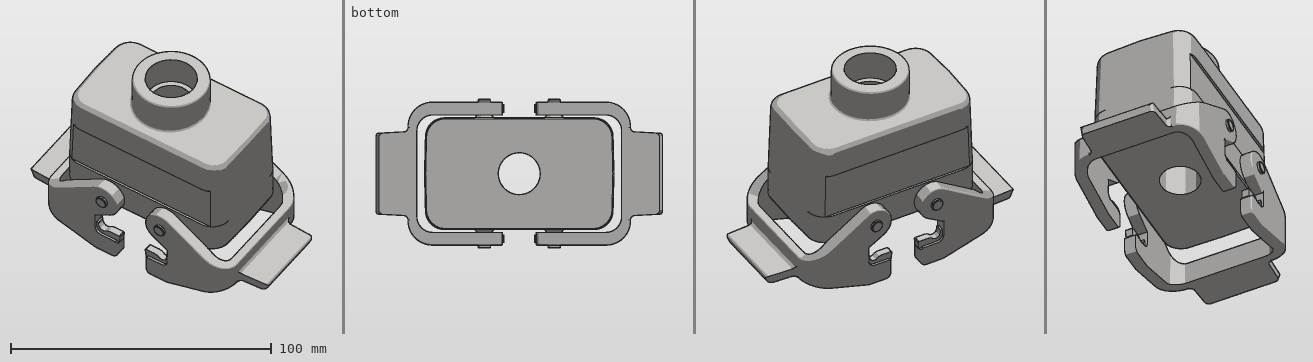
import cadquery as cq
import math


TOP_Z = 58.5
BOTTOM_Z = -21.8

HOOD_LENGTH = 72.8
HOOD_WIDTH = 43.0
HOOD_CORNER_R = 7.5
HOOD_TOP_Z = 45.0
SKIRT_HEIGHT = 12.8
DRAFT = math.radians(1.4)
PARTING_CLEARANCE = 1.0
HOOD_TOP_FILLET = 3.0
RIM_CHAMFER = 0.5

RECESS_DEPTH = 0.9
RECESS_TOP_Z = 31.8

NECK_DIAMETER = 30.0
NECK_RIM_FILLET = 1.0
NECK_BASE_FILLET = 1.0
BORE_DIAMETER = 20.0
BORE_DEPTH = 12.2
CABLE_HOLE_DIAMETER = 16.0

PIVOT_X = 13.4
PIVOT_Z = 6.1
PIN_DIAMETER = 4.8
PIN_SPAN = 57.2
PIN_EDGE_CHAMFER = 0.3
BOSS_BASE_DIAMETER = 7.4
BOSS_TIP_DIAMETER = 5.7
PIN_EMBED = 1.0

LEVER_OUTER_X = 42.75
LEVER_WIDTH = 55.0
ARM_THICKNESS = 5.0
END_WALL_THICKNESS = 3.5
BEND_OUTER_R = 9.5
BEND_INNER_R = 6.0
BEND_STEPS = 6
BEND_OVERSHOOT = 1.0
LEVER_EDGE_FILLET = 0.6

LEVER_EYE_R = 7.0
END_WALL_TOP = (-LEVER_OUTER_X, -4.05)
END_WALL_BOTTOM = (-LEVER_OUTER_X, -14.25)
FOOT_HEEL = (-16.5, BOTTOM_Z)
HOOK_TIP_X = 6.6
HOOK_TIP_R = 2.4
HOOK_LEDGE_Z = -12.9
HOOK_LEDGE_CHAMFER = 0.8
THROAT_X = 16.65
THROAT_TOP = (-THROAT_X, -3.9)
THROAT_R = 2.8

TOOTH_THICKNESS = 3.0
TOOTH_GROOVE_X = 15.8
TOOTH_GROOVE_START_Z = -8.2
TOOTH_GROOVE_LOW_X = 13.5
TOOTH_GROOVE_LOW_Z = -11.3
TOOTH_CREST_X = 9.8
TOOTH_CREST_Z = -10.0
TOOTH_TIP_X = 5.8
TOOTH_TIP_BASE_X = 6.2
TOOTH_TIP_CHAMFER = 0.4

GRIP_TIP_X = 55.0
GRIP_TOP_Z = -10.7
GRIP_ROOT_WIDTH = 32.2
GRIP_TIP_WIDTH = 31.0
GRIP_ROOT_FILLET = 2.0
GRIP_SIDE_FILLET = 1.6
GRIP_NOSE_SLOPE = math.radians(26)
GRIP_NOSE_FILLET = 1.1
GRIP_CORNER_R = 1.8


def drafted(size, height):
    """Size of the drafted hood body at a height above the rim."""
    return size - 2 * (height - SKIRT_HEIGHT) * math.tan(DRAFT)


def off_parting_plane(shape):
    """True for edges lying clear of the parting plane Y = 0."""
    return abs(shape.Center().y) > PARTING_CLEARANCE


def on_roof(shape):
    return shape.Center().z > HOOD_TOP_Z - HOOD_TOP_FILLET


def hood_plan(height):
    """Hood outline whose end faces slope back from a crest on the parting plane."""
    half_width = HOOD_WIDTH / 2
    crest_x = HOOD_LENGTH / 2
    corner_x = crest_x - half_width * math.tan(DRAFT)
    return (
        cq.Workplane("XY", origin=(0, 0, height))
        .polyline(
            [
                (crest_x, 0),
                (corner_x, half_width),
                (-corner_x, half_width),
                (-crest_x, 0),
                (-corner_x, -half_width),
                (corner_x, -half_width),
            ]
        )
        .close()
    )


def round_corners(body):
    return body.edges("not #Z").filter(off_parting_plane).fillet(HOOD_CORNER_R)


def make_hood():
    skirt = round_corners(hood_plan(0).extrude(SKIRT_HEIGHT))
    skirt = skirt.faces("<Z").edges().chamfer(RIM_CHAMFER)

    body_height = HOOD_TOP_Z - SKIRT_HEIGHT
    body = round_corners(hood_plan(SKIRT_HEIGHT).extrude(body_height, taper=math.degrees(DRAFT)))
    half_width = HOOD_WIDTH / 2
    roof_half = (
        cq.Workplane("YZ")
        .polyline(
            [
                (0, 0),
                (half_width, 0),
                (half_width, HOOD_TOP_Z - half_width * math.tan(DRAFT)),
                (0, HOOD_TOP_Z),
            ]
        )
        .close()
        .extrude(HOOD_LENGTH / 2, both=True)
    )
    body_half = body.intersect(roof_half)
    eave_edges = body_half.edges().filter(on_roof).filter(off_parting_plane)
    body_half = eave_edges.fillet(HOOD_TOP_FILLET)
    return skirt.union(body_half).union(body_half.mirror("XZ"))


def cut_label_recesses(hood):
    bottom_y = HOOD_WIDTH / 2 - RECESS_DEPTH
    top_y = drafted(HOOD_WIDTH, RECESS_TOP_Z) / 2 - RECESS_DEPTH
    slab = (
        cq.Workplane("YZ")
        .polyline(
            [
                (bottom_y, SKIRT_HEIGHT),
                (HOOD_WIDTH, SKIRT_HEIGHT),
                (HOOD_WIDTH, RECESS_TOP_Z),
                (top_y, RECESS_TOP_Z),
            ]
        )
        .close()
        .extrude(HOOD_LENGTH / 2, both=True)
    )
    return hood.cut(slab).cut(slab.mirror("XZ"))


def at_neck_base(edge):
    """True for the curved edges where the neck rises from the roof."""
    return on_roof(edge) and edge.Center().z < HOOD_TOP_Z and edge.geomType() == "ELLIPSE"


def add_neck(hood):
    neck_r = NECK_DIAMETER / 2
    neck = (
        cq.Workplane("XY", origin=(0, 0, SKIRT_HEIGHT))
        .circle(neck_r)
        .extrude(TOP_Z - SKIRT_HEIGHT)
        .faces(">Z")
        .edges()
        .fillet(NECK_RIM_FILLET)
    )
    hood = hood.union(neck)
    hood = hood.edges().filter(at_neck_base).fillet(NECK_BASE_FILLET)
    bore = (
        cq.Workplane("XY", origin=(0, 0, TOP_Z))
        .circle(BORE_DIAMETER / 2)
        .extrude(-BORE_DEPTH)
    )
    cable_hole = cq.Workplane("XY").circle(CABLE_HOLE_DIAMETER / 2).extrude(TOP_Z)
    return hood.cut(bore).cut(cable_hole)


def eye_tangent_point(x, z, side):
    """Point where the line from (x, z) touches the lever eye (side +1 above, -1 below)."""
    dx = -PIVOT_X - x
    dz = PIVOT_Z - z
    angle = math.atan2(dz, dx) + side * math.asin(LEVER_EYE_R / math.hypot(dx, dz))
    return (
        -PIVOT_X - side * LEVER_EYE_R * math.sin(angle),
        PIVOT_Z + side * LEVER_EYE_R * math.cos(angle),
    )


def extrude_side_outline(outline, half_width):
    """Extrude an XZ outline symmetrically about Y = 0."""
    return outline.close().extrude(half_width, both=True)


def height_on_line(x, start, end):
    """Z of the straight line through two XZ points, at a given X."""
    return start[1] + (end[1] - start[1]) * (x - start[0]) / (end[0] - start[0])


def make_lever_arm():
    """Flat +Y arm of the left-hand lever, from the bend to the hook."""
    bend_x = BEND_OUTER_R - LEVER_OUTER_X
    upper = eye_tangent_point(*END_WALL_TOP, 1)
    lower = eye_tangent_point(*THROAT_TOP, -1)
    outline = (
        cq.Workplane("XZ")
        .moveTo(bend_x, height_on_line(bend_x, END_WALL_TOP, upper))
        .lineTo(*upper)
        .threePointArc((-PIVOT_X + LEVER_EYE_R, PIVOT_Z), lower)
        .lineTo(*THROAT_TOP)
        .lineTo(-THROAT_X, HOOK_LEDGE_Z + THROAT_R)
        .radiusArc((-THROAT_X + THROAT_R, HOOK_LEDGE_Z), -THROAT_R)
        .lineTo(-HOOK_TIP_X - HOOK_LEDGE_CHAMFER, HOOK_LEDGE_Z)
        .lineTo(-HOOK_TIP_X, HOOK_LEDGE_Z - HOOK_LEDGE_CHAMFER)
        .lineTo(-HOOK_TIP_X, BOTTOM_Z + HOOK_TIP_R)
        .radiusArc((-HOOK_TIP_X - HOOK_TIP_R, BOTTOM_Z), HOOK_TIP_R)
        .lineTo(*FOOT_HEEL)
        .lineTo(bend_x, height_on_line(bend_x, END_WALL_BOTTOM, FOOT_HEEL))
    )
    arm = extrude_side_outline(outline, ARM_THICKNESS / 2)
    return arm.translate((0, (LEVER_WIDTH - ARM_THICKNESS) / 2, 0))


def bend_points(angle):
    """Outer and inner XY points across the +Y bend, just beyond the strap's two surfaces."""
    bend_x = BEND_OUTER_R - LEVER_OUTER_X
    outer_r = BEND_OUTER_R + BEND_OVERSHOOT
    inner_r = BEND_INNER_R - BEND_OVERSHOOT
    outer_centre_y = LEVER_WIDTH / 2 - BEND_OUTER_R
    inner_centre_y = LEVER_WIDTH / 2 - ARM_THICKNESS - BEND_INNER_R
    outer = (bend_x - outer_r * math.sin(angle), outer_centre_y + outer_r * math.cos(angle))
    inner = (bend_x - inner_r * math.sin(angle), inner_centre_y + inner_r * math.cos(angle))
    return outer, inner


def bend_section(angle):
    """Radial cross-section of the +Y bend; its height follows the strap's outer surface."""
    outer, inner = bend_points(angle)
    surface_x = BEND_OUTER_R * (1 - math.sin(angle)) - LEVER_OUTER_X
    top_z = height_on_line(surface_x, END_WALL_TOP, eye_tangent_point(*END_WALL_TOP, 1))
    bottom_z = height_on_line(surface_x, END_WALL_BOTTOM, FOOT_HEEL)
    corners = [(*outer, bottom_z), (*outer, top_z), (*inner, top_z), (*inner, bottom_z)]
    return cq.Wire.makePolygon([cq.Vector(*corner) for corner in corners], close=True)


def make_lever_bend():
    angles = [math.pi / 2 * step / BEND_STEPS for step in range(BEND_STEPS + 1)]
    return cq.Workplane(cq.Solid.makeLoft([bend_section(angle) for angle in angles]))


def make_end_wall():
    outer, inner = bend_points(math.pi / 2)
    return (
        cq.Workplane("XY", origin=(0, 0, END_WALL_BOTTOM[1]))
        .polyline([outer, inner, (inner[0], -inner[1]), (outer[0], -outer[1])])
        .close()
        .extrude(END_WALL_TOP[1] - END_WALL_BOTTOM[1])
    )


def make_strap_plan():
    """U-shaped plan of the strap, taller than the lever."""
    height = TOP_Z - BOTTOM_Z
    plan = (
        cq.Workplane("XY", origin=(0, 0, BOTTOM_Z))
        .rect(2 * LEVER_OUTER_X, LEVER_WIDTH)
        .extrude(height)
        .edges("|Z and <X")
        .fillet(BEND_OUTER_R)
    )
    opening = (
        cq.Workplane("XY", origin=(0, 0, BOTTOM_Z))
        .rect(2 * (LEVER_OUTER_X - END_WALL_THICKNESS), LEVER_WIDTH - 2 * ARM_THICKNESS)
        .extrude(height)
        .edges("|Z and <X")
        .fillet(BEND_INNER_R)
    )
    return plan.cut(opening)


def outside_throat(edge):
    """True for edges that do not border the hook's throat."""
    centre = edge.Center()
    beside_throat = -THROAT_X - LEVER_EDGE_FILLET < centre.x < -HOOK_TIP_X
    within_height = HOOK_LEDGE_Z - HOOK_LEDGE_CHAMFER < centre.z < THROAT_TOP[1]
    return not (beside_throat and within_height)


def make_lever_strap():
    """Left-hand lever: two arms joined by bends and an end wall, outer edges rounded."""
    half = make_lever_arm().union(make_lever_bend())
    strap = make_end_wall().union(half).union(half.mirror("XZ")).intersect(make_strap_plan())
    outer_edges = strap.faces("<Y or >Y or <X").edges().filter(outside_throat)
    return outer_edges.fillet(LEVER_EDGE_FILLET)


def make_teeth():
    """Locking tooth inside each hook of the left-hand lever."""
    root_z = HOOK_LEDGE_Z - HOOK_LEDGE_CHAMFER
    outline = (
        cq.Workplane("XZ")
        .moveTo(-THROAT_X - THROAT_R, root_z)
        .lineTo(-THROAT_X - THROAT_R, TOOTH_GROOVE_START_Z)
        .lineTo(-TOOTH_GROOVE_X, TOOTH_GROOVE_START_Z)
        .spline(
            [
                (-TOOTH_GROOVE_LOW_X, TOOTH_GROOVE_LOW_Z),
                (-TOOTH_CREST_X, TOOTH_CREST_Z),
            ],
            tangents=[(0, -1), (1, 0), (1, 0)],
            includeCurrent=True,
        )
        .lineTo(-TOOTH_TIP_X - TOOTH_TIP_CHAMFER, TOOTH_CREST_Z)
        .lineTo(-TOOTH_TIP_X, TOOTH_CREST_Z - TOOTH_TIP_CHAMFER)
        .lineTo(-TOOTH_TIP_BASE_X, root_z)
    )
    arm_middle_y = (LEVER_WIDTH - ARM_THICKNESS) / 2
    tooth = extrude_side_outline(outline, TOOTH_THICKNESS / 2).translate((0, arm_middle_y, 0))
    return tooth.union(tooth.mirror("XZ"))


def at_nose(edge):
    return edge.Center().x < GRIP_CORNER_R - GRIP_TIP_X


def make_grip():
    """Finger grip of the left-hand lever, flared where it meets the end wall."""
    inner_x = END_WALL_THICKNESS / 2 - LEVER_OUTER_X
    nose_overhang = math.tan(GRIP_NOSE_SLOPE) + 1 / math.cos(GRIP_NOSE_SLOPE) - 1
    nose_top_x = -GRIP_TIP_X - GRIP_NOSE_FILLET * nose_overhang
    nose_bottom_x = nose_top_x + (GRIP_TOP_Z - END_WALL_BOTTOM[1]) * math.tan(GRIP_NOSE_SLOPE)
    profile = (
        cq.Workplane("XZ")
        .moveTo(inner_x, END_WALL_BOTTOM[1])
        .lineTo(nose_bottom_x, END_WALL_BOTTOM[1])
        .lineTo(nose_top_x, GRIP_TOP_Z)
        .lineTo(-LEVER_OUTER_X - GRIP_ROOT_FILLET, GRIP_TOP_Z)
        .radiusArc((-LEVER_OUTER_X, GRIP_TOP_Z + GRIP_ROOT_FILLET), -GRIP_ROOT_FILLET)
        .lineTo(inner_x, GRIP_TOP_Z + GRIP_ROOT_FILLET)
    )
    side = extrude_side_outline(profile, GRIP_ROOT_WIDTH)
    rounded_side = side.edges("<X").fillet(GRIP_NOSE_FILLET)

    flare_x = -LEVER_OUTER_X - GRIP_SIDE_FILLET
    root_y = GRIP_ROOT_WIDTH / 2
    flare_y = root_y + GRIP_SIDE_FILLET
    tip_y = GRIP_TIP_WIDTH / 2
    plan = (
        cq.Workplane("XY", origin=(0, 0, BOTTOM_Z))
        .moveTo(inner_x, -flare_y)
        .lineTo(-LEVER_OUTER_X, -flare_y)
        .radiusArc((flare_x, -root_y), -GRIP_SIDE_FILLET)
        .lineTo(nose_top_x, -tip_y)
        .lineTo(nose_top_x, tip_y)
        .lineTo(flare_x, root_y)
        .radiusArc((-LEVER_OUTER_X, flare_y), -GRIP_SIDE_FILLET)
        .lineTo(inner_x, flare_y)
        .close()
        .extrude(-BOTTOM_Z)
    )
    grip = side.intersect(plan)
    grip = grip.edges("not |Y").filter(at_nose).fillet(GRIP_CORNER_R)
    return grip.intersect(rounded_side)


def make_lever():
    return make_lever_strap().union(make_teeth()).union(make_grip())


def make_pivot():
    """Pivot on the left lever's +Y arm: a headed pin with a conical spacer boss."""
    hood_y = HOOD_WIDTH / 2
    arm_inner_y = LEVER_WIDTH / 2 - ARM_THICKNESS
    pin_r = PIN_DIAMETER / 2
    pin_end_y = PIN_SPAN / 2
    boss_r = BOSS_BASE_DIAMETER / 2
    pivot = (
        cq.Workplane("XY")
        .polyline(
            [
                (0, hood_y - PIN_EMBED),
                (boss_r, hood_y - PIN_EMBED),
                (boss_r, hood_y),
                (BOSS_TIP_DIAMETER / 2, arm_inner_y),
                (pin_r, arm_inner_y),
                (pin_r, pin_end_y - PIN_EDGE_CHAMFER),
                (pin_r - PIN_EDGE_CHAMFER, pin_end_y),
                (0, pin_end_y),
            ]
        )
        .close()
        .revolve(360, (0, 0, 0), (0, 1, 0))
    )
    return pivot.translate((-PIVOT_X, 0, PIVOT_Z))


hood = add_neck(cut_label_recesses(make_hood()))
pivot = make_pivot()
left_assembly = make_lever().union(pivot).union(pivot.mirror("XZ"))
result = hood.union(left_assembly).union(left_assembly.mirror("YZ"))